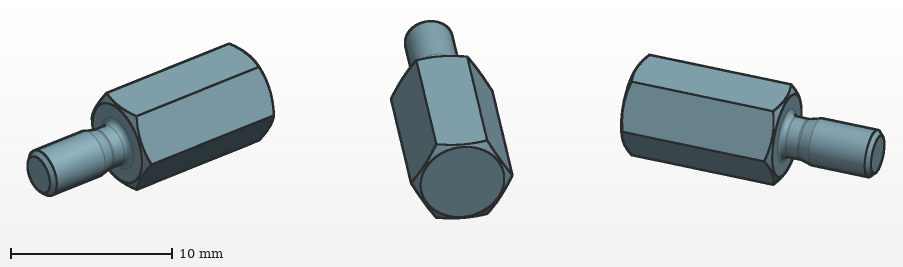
import cadquery as cq
import math

total_length = 16.0
stud_length = 6.0
body_length = total_length - stud_length

across_flats = 5.5
across_corners = across_flats / math.cos(math.radians(30))
end_face_diameter = 5.23
corner_chamfer_angle = 30.0

stud_diameter = 3.0
stud_tip_chamfer = 0.3
neck_diameter = 2.6
undercut_length = 2.0
undercut_radius = 0.4
runout_angle = 15.0


def chamfered_hex_body():
    """Hexagon with points on X, its corners turned down at both ends."""
    hexagon = (
        cq.Workplane("XZ")
        .polygon(6, across_corners)
        .extrude(-body_length)
    )
    face_radius = end_face_diameter / 2
    corner_radius = across_corners / 2
    envelope_radius = corner_radius + 0.16
    chamfer_depth = (envelope_radius - face_radius) * math.tan(math.radians(corner_chamfer_angle))
    envelope = (
        cq.Workplane("XY")
        .polyline([
            (0, 0),
            (face_radius, 0),
            (envelope_radius, chamfer_depth),
            (envelope_radius, body_length - chamfer_depth),
            (face_radius, body_length),
            (0, body_length),
        ])
        .close()
        .revolve(360, (0, 0), (0, 1))
    )
    return hexagon.intersect(envelope)


def undercut_stud():
    """Turned stud with a rounded seat, a narrow neck and a conical run-out."""
    neck_radius = neck_diameter / 2
    stud_radius = stud_diameter / 2
    slope = math.radians(runout_angle)

    fillet_center_x = neck_radius + undercut_radius
    diagonal = undercut_radius * math.sqrt(0.5)
    fillet_middle = (fillet_center_x - diagonal, -undercut_radius + diagonal)

    cone_length = (stud_radius - neck_radius) / math.tan(slope)
    blend_start = undercut_length - cone_length - undercut_radius * math.tan(slope / 2)

    def blend_point(angle):
        return (
            fillet_center_x - undercut_radius * math.cos(angle),
            -blend_start - undercut_radius * math.sin(angle),
        )

    return (
        cq.Workplane("XY")
        .moveTo(0, 0)
        .lineTo(fillet_center_x, 0)
        .threePointArc(fillet_middle, (neck_radius, -undercut_radius))
        .lineTo(neck_radius, -blend_start)
        .threePointArc(blend_point(slope / 2), blend_point(slope))
        .lineTo(stud_radius, -undercut_length)
        .lineTo(stud_radius, -stud_length + stud_tip_chamfer)
        .lineTo(stud_radius - stud_tip_chamfer, -stud_length)
        .lineTo(0, -stud_length)
        .close()
        .revolve(360, (0, 0), (0, 1))
    )


result = chamfered_hex_body().union(undercut_stud())